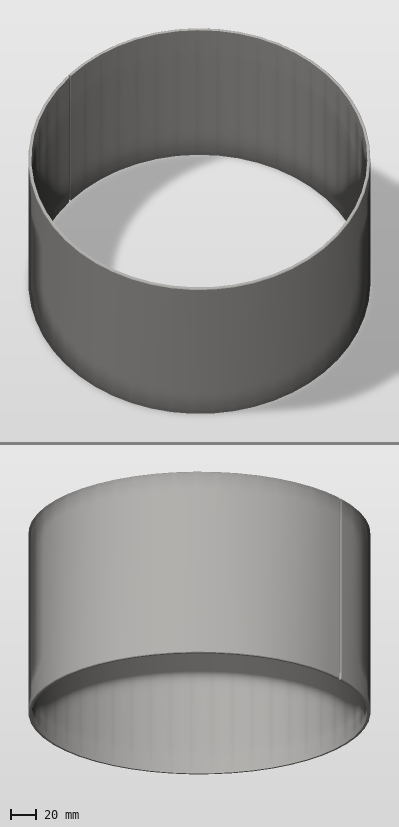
import cadquery as cq

outer_diameter = 265.0
height = 150.0
wall = 2.5
rim_chamfer = 0.5
split_angle = 1.0

outer_radius = outer_diameter / 2
inner_radius = outer_radius - wall
chamfered_radius = outer_radius - rim_chamfer

wall_section = (
    cq.Workplane("XZ")
    .moveTo(-inner_radius, 0)
    .lineTo(-chamfered_radius, 0)
    .lineTo(-outer_radius, rim_chamfer)
    .lineTo(-outer_radius, height - rim_chamfer)
    .lineTo(-chamfered_radius, height)
    .lineTo(-inner_radius, height)
    .close()
)

axis_start = (0, 0, 0)
axis_end = (0, 1, 0)
result = wall_section.revolve(360 - split_angle, axis_start, axis_end)